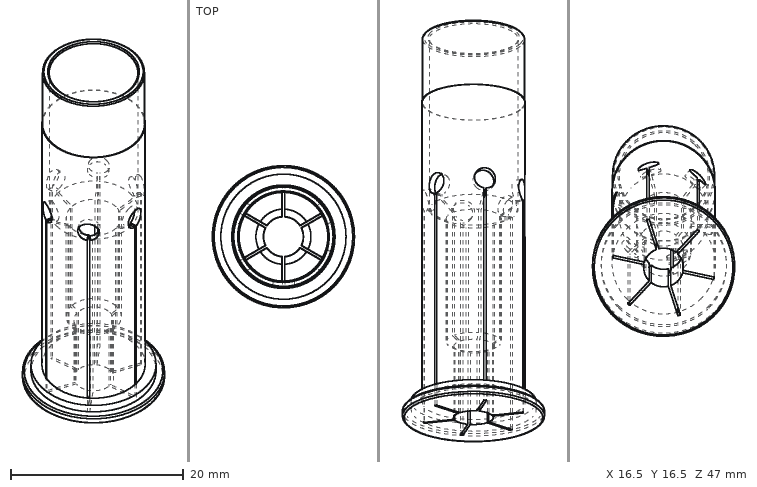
import cadquery as cq
import math

total_height = 47.0
tube_radius = 12.0 / 2
neck_radius = 11.85 / 2
neck_bottom = 39.0
rim_chamfer = 0.165

flange_radius = 16.5 / 2
flange_height = 1.05
flange_chamfer = 0.21
collar_radius = 14.5 / 2
collar_top = 2.0

bore_radius = 10.3 / 2
bore_bottom = 25.75
pilot_radius = 3.2
pilot_bottom = 9.4
exit_radius = 2.3
cone_angle = 30

slot_count = 6
slot_width = 0.3
relief_hole_diameter = 2.5
relief_hole_height = 27.5


def cone_height(wide_radius, narrow_radius):
    """Height of a bore step between two radii."""
    return (wide_radius - narrow_radius) * math.tan(math.radians(cone_angle))


def make_sleeve():
    """Revolve the wall of the flanged sleeve about the Z axis."""
    outside = [
        (flange_radius - flange_chamfer, 0),
        (flange_radius, flange_chamfer),
        (flange_radius, flange_height - flange_chamfer),
        (flange_radius - flange_chamfer, flange_height),
        (collar_radius, flange_height),
        (collar_radius, collar_top),
        (tube_radius, collar_top),
        (tube_radius, neck_bottom),
        (neck_radius, neck_bottom),
        (neck_radius, total_height - rim_chamfer),
        (neck_radius - rim_chamfer, total_height),
    ]
    inside = [
        (bore_radius + rim_chamfer, total_height),
        (bore_radius, total_height - rim_chamfer),
        (bore_radius, bore_bottom),
        (pilot_radius, bore_bottom - cone_height(bore_radius, pilot_radius)),
        (pilot_radius, pilot_bottom),
        (exit_radius, pilot_bottom - cone_height(pilot_radius, exit_radius)),
        (exit_radius, 0),
    ]
    profile = cq.Workplane("XZ").polyline(outside + inside).close()
    return profile.revolve(360, (0, 0), (0, 1))


def make_slot_cutter():
    """One radial slot toward +X through the tube wall, topped by a round relief hole."""
    slot = cq.Workplane("XY").box(
        tube_radius, slot_width, relief_hole_height, centered=(False, True, False)
    )
    relief_hole = (
        cq.Workplane("YZ")
        .center(0, relief_hole_height)
        .circle(relief_hole_diameter / 2)
        .extrude(flange_radius)
    )
    return slot.union(relief_hole)


result = make_sleeve()
slot_cutter = make_slot_cutter()
for index in range(slot_count):
    angle = 90 + index * 360 / slot_count
    result = result.cut(slot_cutter.rotate((0, 0, 0), (0, 0, 1), angle))